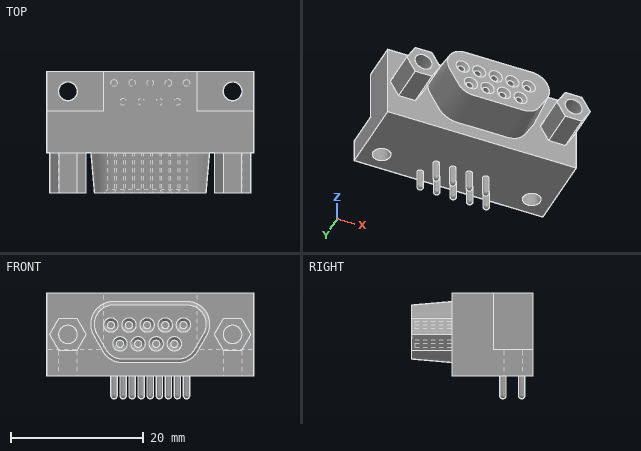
import cadquery as cq
import math

overall_depth = 18.4
overall_height = 16.05

body_width = 31.31
body_depth = 12.3
body_height = 12.6
body_mid_z = body_height / 2

rear_block_width = 14.14
ear_depth = 6.0
ear_height = 4.0
mount_spacing = 24.9
mount_hole_diameter = 2.8

projection = overall_depth - body_depth

shell_height = 9.26
shell_corner_radius = 3.44
shell_top_flat = 11.1
shell_flank_angle = 30.0
shell_draft_angle = 5.0
shell_center_rise = 0.36
shell_mid_z = body_mid_z + shell_center_rise

standoff_flats = 4.8
standoff_hole_diameter = 2.8

contact_rows = (5, 4)
contact_pitch = 2.74
row_spacing = 2.84
contact_offset_x = -0.47
contact_mouth_diameter = 2.18
contact_bore_diameter = 1.09
contact_funnel_depth = (contact_mouth_diameter - contact_bore_diameter) / 2
contact_depth = projection

pin_diameter = 1.0
pin_length = overall_height - body_height
rear_pin_inset = 1.73


def make_body():
    body = cq.Workplane("XY").box(body_width, body_depth, body_height, centered=(True, False, False))
    notch_width = (body_width - rear_block_width) / 2
    for side in (-1, 1):
        notch = (
            cq.Workplane("XY")
            .box(notch_width, ear_depth, body_height - ear_height, centered=(True, False, False))
            .translate((side * (body_width - notch_width) / 2, body_depth - ear_depth, ear_height))
        )
        mount_hole = (
            cq.Workplane("XY")
            .center(side * mount_spacing / 2, body_depth - ear_depth / 2)
            .circle(mount_hole_diameter / 2)
            .extrude(ear_height)
        )
        body = body.cut(notch).cut(mount_hole)
    return body


def shell_outline(plane):
    """D-shaped wire of tangent lines and arcs."""
    radius = shell_corner_radius
    half_core = shell_height / 2 - shell_corner_radius
    top_x = shell_top_flat / 2
    bottom_x = top_x - 2 * half_core * math.tan(math.radians(shell_flank_angle))

    def on_arc(center_x, center_z, degrees):
        angle = math.radians(degrees)
        return (center_x + radius * math.cos(angle), center_z + radius * math.sin(angle))

    flank = -shell_flank_angle
    left_flank = 180 - flank
    return (
        plane.moveTo(*on_arc(-top_x, half_core, 90))
        .lineTo(*on_arc(top_x, half_core, 90))
        .threePointArc(on_arc(top_x, half_core, (90 + flank) / 2), on_arc(top_x, half_core, flank))
        .lineTo(*on_arc(bottom_x, -half_core, flank))
        .threePointArc(on_arc(bottom_x, -half_core, (flank - 90) / 2), on_arc(bottom_x, -half_core, -90))
        .lineTo(*on_arc(-bottom_x, -half_core, -90))
        .threePointArc(
            on_arc(-bottom_x, -half_core, (left_flank + 270) / 2), on_arc(-bottom_x, -half_core, left_flank)
        )
        .lineTo(*on_arc(-top_x, half_core, left_flank))
        .threePointArc(on_arc(-top_x, half_core, (left_flank + 90) / 2), on_arc(-top_x, half_core, 90))
        .close()
    )


def make_shell():
    base = cq.Workplane("XZ", origin=(0, 0, shell_mid_z))
    return shell_outline(base).extrude(projection, taper=shell_draft_angle)


def make_contact_socket(x, z):
    """Funnel-mouthed bore running back from the shell face."""
    profile = [
        (0, 0),
        (contact_mouth_diameter / 2, 0),
        (contact_bore_diameter / 2, contact_funnel_depth),
        (contact_bore_diameter / 2, contact_depth),
        (0, contact_depth),
    ]
    socket = cq.Workplane("XY").polyline(profile).close().revolve(360, (0, 0, 0), (0, 1, 0))
    return socket.translate((x, -projection, z))


def make_standoff(side):
    corner_diameter = standoff_flats / math.cos(math.pi / 6)
    return (
        cq.Workplane("XZ", origin=(side * mount_spacing / 2, 0, body_mid_z))
        .polygon(6, corner_diameter)
        .circle(standoff_hole_diameter / 2)
        .extrude(projection)
    )


def make_pin(x, y):
    radius = pin_diameter / 2
    straight = pin_length - radius
    shaft = cq.Workplane("XY").circle(radius).extrude(-straight)
    tip = cq.Workplane("XY").sphere(radius).translate((0, 0, -straight))
    return shaft.union(tip).translate((x, y, 0))


result = make_body().union(make_shell())

for side in (-1, 1):
    result = result.union(make_standoff(side))

for row, count in enumerate(contact_rows):
    row_z = body_mid_z + row_spacing * (0.5 - row)
    pin_y = body_depth - rear_pin_inset - row * row_spacing
    for index in range(count):
        row_x = (index - (count - 1) / 2) * contact_pitch
        result = result.cut(make_contact_socket(row_x + contact_offset_x, row_z))
        result = result.union(make_pin(row_x, pin_y))